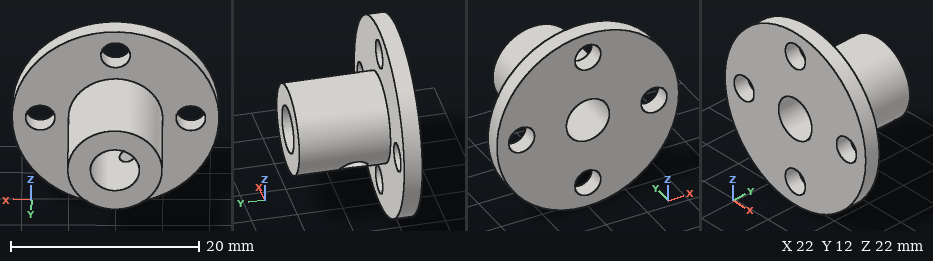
import cadquery as cq

flange_diameter = 22
flange_thickness = 2.0
total_length = 12.0
hub_diameter = 10.0
bore_diameter = 5.2

mount_hole_diameter = 3.1
mount_circle_diameter = 16.0
mount_hole_count = 4

screw_hole_diameter = 3.0
screw_distance_from_flange_face = 5.65
screw_angle = -135

front_y = -total_length / 2


def cylinder_along_y(diameter, length):
    """Cylinder on the Y axis, starting at the front face of the flange."""
    base = cq.Workplane("XZ", origin=(0, front_y, 0))
    return base.circle(diameter / 2).extrude(-length)


def mounting_holes():
    base = cq.Workplane("XZ", origin=(0, front_y, 0))
    points = base.polarArray(mount_circle_diameter / 2, 0, 360, mount_hole_count)
    return points.circle(mount_hole_diameter / 2).extrude(-flange_thickness)


def screw_hole():
    """Radial hole from the bore axis out through one side of the hub."""
    screw_y = front_y + screw_distance_from_flange_face
    hole = cq.Workplane("YZ", origin=(0, screw_y, 0))
    hole = hole.circle(screw_hole_diameter / 2).extrude(hub_diameter)
    return hole.rotate((0, 0, 0), (0, 1, 0), -screw_angle)


flange = cylinder_along_y(flange_diameter, flange_thickness)
hub = cylinder_along_y(hub_diameter, total_length)
result = flange.union(hub)
result = result.cut(cylinder_along_y(bore_diameter, total_length))
result = result.cut(mounting_holes())
result = result.cut(screw_hole())